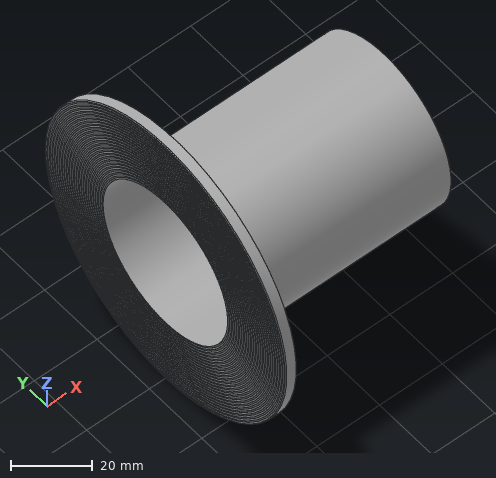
import cadquery as cq

flange_diameter = 92.1
flange_thickness = 3.3
tube_diameter = 50.8
bore_diameter = 47.5
overall_length = 69.9
neck_radius = 2.95
rim_chamfer = 0.3
groove_count = 24
groove_depth = 0.1

flange_radius = flange_diameter / 2
tube_radius = tube_diameter / 2
bore_radius = bore_diameter / 2
face_radius = flange_radius - rim_chamfer
neck_end = flange_thickness + neck_radius
groove_pitch = (face_radius - bore_radius) / groove_count


def grooved_face_points():
    """Crest and root of each V groove as (x, radius), from the bore outwards."""
    points = []
    for index in range(groove_count):
        crest_radius = bore_radius + index * groove_pitch
        root_radius = crest_radius + groove_pitch / 2
        points.append((0, crest_radius))
        points.append((groove_depth, root_radius))
    points.append((0, face_radius))
    return points


def half_section():
    """Closed wall section above the X axis: face, rim, flange back, neck, tube, bore."""
    return (
        cq.Workplane("XY")
        .polyline(grooved_face_points())
        .lineTo(rim_chamfer, flange_radius)
        .lineTo(flange_thickness, flange_radius)
        .lineTo(flange_thickness, tube_radius + neck_radius)
        .radiusArc((neck_end, tube_radius), -neck_radius)
        .lineTo(overall_length, tube_radius)
        .lineTo(overall_length, bore_radius)
        .close()
    )


axis_start = (0, 0, 0)
axis_end = (1, 0, 0)
result = half_section().revolve(360, axis_start, axis_end)